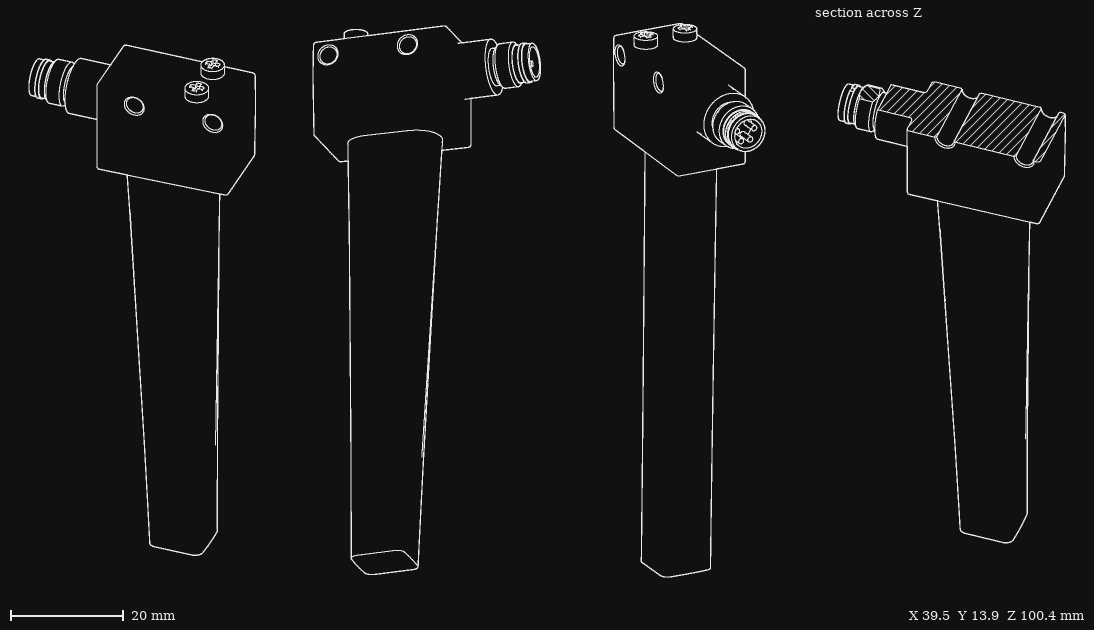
import cadquery as cq
import math

block_left = 14.2
block_right = 39.5
block_right_top = 39.4
block_right_bottom = 39.3
block_width = 13.9
block_top = 98.4
block_bottom_left = 80.0
block_bottom_right = 80.4
block_fillet = 0.6
embed = 1.0
axis_z = 92.0

hole_xs = (21.5, 36.5)
hole_z = 95.5
hole_diameter = 3.2
hole_chamfer = 0.3

sleeve_left = 7.5
sleeve_radius = 5.0
sleeve_root_fillet = 0.5

screw_x = 32.2
screw_offset_y = 3.9
screw_radius = 2.1
screw_top = 100.4
screw_dome_height = 0.3
dome_middle_rise = 0.75
cross_length = 2.5
cross_width = 0.8
cross_depth = 0.8

arm_top = 80.0
arm_section_heights = (0, 20.0, 70.0, arm_top)
arm_left = (23.1, 17.6)
arm_flat_start = (24.6, 22.3)
arm_flat_end = (31.7, 30.1)
arm_right = (33.3, 34.9)
arm_half_width = (4.9, 4.5)
arm_corner_y = (3.5, 3.1)
arm_end_bulge = (0.1, 1.1)

barrel_diameter = 6.7
rib_diameter = 7.1
rib_start = 1.2
rib_end = 1.9
collar_start = 3.0
collar_end = 6.6
collar_radius = 4.0
collar_front_bevel = 0.5
collar_rear_bevel = 0.6
socket_radius = 2.7
socket_depth = 4.0
pin_radius = 0.5
pin_length = 3.0
pin_places = ((1.7, 0.4), (-1.7, 0.4), (0.9, -1.6), (-0.9, -1.6))


def x_cylinder(radius, x_start, x_end, y=0, z=axis_z):
    """Cylinder along X between two stations."""
    plane = cq.Workplane("YZ", origin=(x_start, y, z))
    return plane.circle(radius).extrude(x_end - x_start)


def make_block():
    """Rounded block; only the faint crease on its right face stays sharp."""
    outline = [
        (block_left, block_bottom_left),
        (block_right_bottom, block_bottom_right),
        (block_right, axis_z),
        (block_right_top, block_top),
        (block_left, block_top),
    ]
    block = cq.Workplane("XZ").polyline(outline).close().extrude(block_width / 2, both=True)
    parting_edge = cq.selectors.NearestToPointSelector((block_right, 0, axis_z))
    outer_edges = cq.selectors.SubtractSelector(cq.Selector(), parting_edge)
    return block.edges(outer_edges).fillet(block_fillet)


def make_sleeve():
    """Sleeve with a concave fillet where it runs into the block."""
    root = block_left - sleeve_root_fillet
    foot_radius = sleeve_radius + sleeve_root_fillet
    hidden_end = block_left + embed
    sag = sleeve_root_fillet * (1 - math.sqrt(0.5))
    profile = (
        cq.Workplane("XY")
        .moveTo(sleeve_left, 0)
        .lineTo(sleeve_left, sleeve_radius)
        .lineTo(root, sleeve_radius)
        .threePointArc((block_left - sag, sleeve_radius + sag), (block_left, foot_radius))
        .lineTo(hidden_end, foot_radius)
        .lineTo(hidden_end, 0)
        .close()
    )
    return profile.revolve(360, (0, 0, 0), (1, 0, 0)).translate((0, 0, axis_z))


def arm_section(z):
    """Closed outline of the arm at one height: flats joined by bowed ends."""
    def at(pair):
        return pair[0] + (pair[1] - pair[0]) * z / arm_top

    left, right = at(arm_left), at(arm_right)
    start, end = at(arm_flat_start), at(arm_flat_end)
    width, corner, bulge = at(arm_half_width), at(arm_corner_y), at(arm_end_bulge)

    def corner_middle(flat_x, end_x):
        """Middle of the arc that leaves the flat tangentially and ends at the end face."""
        run, drop = end_x - flat_x, width - corner
        radius = (run ** 2 + drop ** 2) / (2 * drop)
        half_angle = math.atan2(drop, abs(run))
        run_middle = math.copysign(radius * math.sin(half_angle), run)
        return flat_x + run_middle, width - radius * (1 - math.cos(half_angle))

    right_x, right_y = corner_middle(end, right - bulge)
    left_x, left_y = corner_middle(start, left + bulge)
    outline = (
        cq.Workplane("XY", origin=(0, 0, z))
        .moveTo(start, -width)
        .lineTo(end, -width)
        .threePointArc((right_x, -right_y), (right - bulge, -corner))
        .threePointArc((right, 0), (right - bulge, corner))
        .threePointArc((right_x, right_y), (end, width))
        .lineTo(start, width)
        .threePointArc((left_x, left_y), (left + bulge, corner))
        .threePointArc((left, 0), (left + bulge, -corner))
        .threePointArc((left_x, -left_y), (start, -width))
        .close()
    )
    return outline.val()


def make_arm():
    """Arm lofted straight through its sections, from the tip into the block."""
    heights = (*arm_section_heights, arm_top + embed)
    sections = [arm_section(z) for z in heights]
    return cq.Workplane(cq.Solid.makeLoft(sections, True))


def make_screw_head(y):
    """Domed screw head with a cross recess, standing on the block."""
    height = screw_top - block_top
    rim = height - screw_dome_height
    crown_radius = cross_width / math.sqrt(2)
    dome_middle = ((screw_radius + crown_radius) / 2, rim + dome_middle_rise * screw_dome_height)
    profile = (
        cq.Workplane("XZ")
        .lineTo(screw_radius, 0)
        .lineTo(screw_radius, rim)
        .threePointArc(dome_middle, (crown_radius, height))
        .lineTo(0, height)
        .close()
    )
    head = profile.revolve(360, (0, 0, 0), (0, 1, 0)).translate((screw_x, y, block_top))
    recess = cq.Workplane("XY", origin=(screw_x, y, screw_top))
    for length, width in ((cross_length, cross_width), (cross_width, cross_length)):
        head = head.cut(recess.rect(length, width).extrude(-cross_depth))
    return head


def make_cross_hole(x):
    """Through hole along Y, chamfered at both mouths."""
    half = block_width / 2
    radius = hole_diameter / 2
    profile = [
        (0, -half),
        (radius + hole_chamfer, -half),
        (radius, hole_chamfer - half),
        (radius, half - hole_chamfer),
        (radius + hole_chamfer, half),
        (0, half),
    ]
    tool = cq.Workplane("XY").polyline(profile).close().revolve(360, (0, 0, 0), (0, 1, 0))
    return tool.translate((x, 0, hole_z))


def make_housing():
    """Block, sleeve, arm and screw heads as one body, with the cross holes cut through."""
    housing = make_block().union(make_sleeve()).union(make_arm())
    for y in (-screw_offset_y, screw_offset_y):
        housing = housing.union(make_screw_head(y))
    for x in hole_xs:
        housing = housing.cut(make_cross_hole(x))
    return housing


def make_connector():
    """Barrel with a rib, a bevelled collar and an open socket holding the pins."""
    connector = x_cylinder(barrel_diameter / 2, 0, sleeve_left)
    connector = connector.union(x_cylinder(rib_diameter / 2, rib_start, rib_end))
    collar = x_cylinder(collar_radius, collar_start, collar_end)
    collar = collar.faces("<X").edges().chamfer(collar_front_bevel)
    collar = collar.faces(">X").edges().chamfer(collar_rear_bevel)
    connector = connector.union(collar)
    connector = connector.cut(x_cylinder(socket_radius, 0, socket_depth))
    for y, z in pin_places:
        pin = x_cylinder(pin_radius, socket_depth - pin_length, socket_depth, y, axis_z + z)
        connector = connector.union(pin)
    return connector


housing = make_housing()
connector = make_connector()
result = cq.Compound.makeCompound([housing.val(), connector.val()])